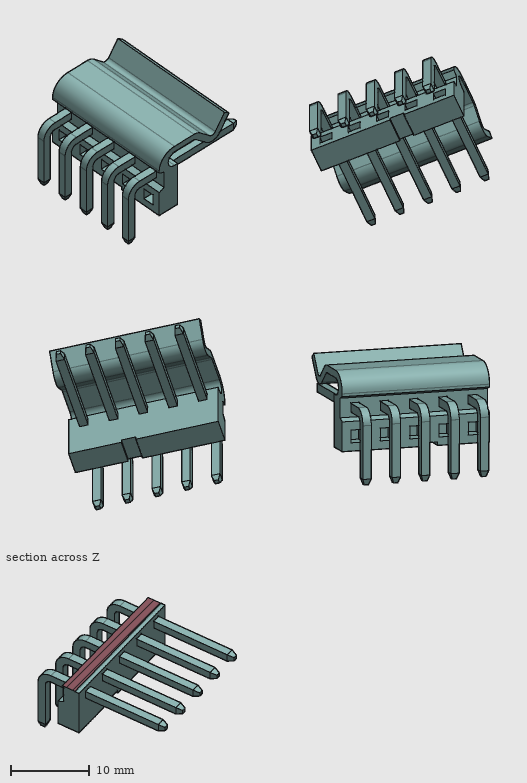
import cadquery as cq
import math


HOUSING_LENGTH = 19.91
WALL_DEPTH = 3.25
CHANNEL_DEPTH = 0.87
CHANNEL_BOTTOM = 4.28
CHANNEL_TOP = 6.84
CHANNEL_FLARE = 0.37
FRONT_TOP = 7.58

ARM_TOP = 10.15
ARM_THICKNESS = 1.0
SHOULDER_Y = 2.70
THROAT_RADIUS = 1.11
THROAT_Y = 2.7
BEND_Y = 6.14
BEND_OUTER_RADIUS = 1.68
BEND_INNER_RADIUS = BEND_OUTER_RADIUS - ARM_THICKNESS
RAMP_ANGLE = 41.5
RAMP_LENGTH = 2.18
LIP_ANGLE = 54.5
LIP_LENGTH = 2.8

PIN_COUNT = 5
PIN_PITCH = 3.96
PIN_SIZE = 1.14
PIN_TIP_SIZE = 0.57
PIN_CENTER_Z = 5.5
PIN_REAR_Y = 15.40
PIN_FRONT_Y = -3.97
PIN_LOWER_Z = -3.74
PIN_BEND_RADIUS = 2.0
MATING_TAPER = 0.86
SOLDER_TAPER = 0.80
LAST_PIN_SHIFT = 0.08

POCKET_SIZE = 1.67
POCKET_CENTER_Z = 1.94
POCKET_DEPTH = 2.0
NOTCH_WIDTH = 1.92
NOTCH_HEIGHT = 0.46
NOTCH_X = PIN_PITCH / 2


def polar(center, radius, angle):
    """Point on a circle, with the angle in degrees from +Y towards +Z."""
    turn = math.radians(angle)
    return (center[0] + radius * math.cos(turn), center[1] + radius * math.sin(turn))


def make_housing():
    """Wall and latch arm, extruded from one Y-Z profile."""
    arm_bottom = ARM_TOP - ARM_THICKNESS
    wall_top = arm_bottom - 2 * THROAT_RADIUS
    throat_center = (THROAT_Y, arm_bottom - THROAT_RADIUS)

    ramp_normal = 90 - RAMP_ANGLE
    lip_normal = LIP_ANGLE - 90
    bend_center = (BEND_Y, ARM_TOP - BEND_OUTER_RADIUS)
    ramp_turning_point = polar(bend_center, BEND_OUTER_RADIUS + BEND_INNER_RADIUS, ramp_normal)
    valley_center = polar(ramp_turning_point, RAMP_LENGTH, -RAMP_ANGLE)
    valley_middle = (ramp_normal + 180 + lip_normal + 360) / 2
    bend_middle = (90 + ramp_normal) / 2
    lip_upper_start = polar(valley_center, BEND_INNER_RADIUS, lip_normal)
    lip_lower_start = polar(valley_center, BEND_OUTER_RADIUS, lip_normal)

    shoulder_rise = ARM_TOP - FRONT_TOP
    shoulder_middle = (
        SHOULDER_Y * (1 - math.sqrt(0.5)),
        FRONT_TOP + shoulder_rise * math.sqrt(0.5),
    )

    profile = (
        cq.Workplane("YZ")
        .moveTo(WALL_DEPTH, 0)
        .lineTo(0, 0)
        .lineTo(0, CHANNEL_BOTTOM - CHANNEL_FLARE)
        .lineTo(CHANNEL_DEPTH, CHANNEL_BOTTOM)
        .lineTo(CHANNEL_DEPTH, CHANNEL_TOP)
        .lineTo(0, CHANNEL_TOP + CHANNEL_FLARE)
        .lineTo(0, FRONT_TOP)
        .threePointArc(shoulder_middle, (SHOULDER_Y, ARM_TOP))
        .lineTo(BEND_Y, ARM_TOP)
        .threePointArc(
            polar(bend_center, BEND_OUTER_RADIUS, bend_middle),
            polar(bend_center, BEND_OUTER_RADIUS, ramp_normal),
        )
        .lineTo(*polar(valley_center, BEND_INNER_RADIUS, ramp_normal + 180))
        .threePointArc(polar(valley_center, BEND_INNER_RADIUS, valley_middle), lip_upper_start)
        .lineTo(*polar(lip_upper_start, LIP_LENGTH, LIP_ANGLE))
        .lineTo(*polar(lip_lower_start, LIP_LENGTH, LIP_ANGLE))
        .lineTo(*lip_lower_start)
        .threePointArc(
            polar(valley_center, BEND_OUTER_RADIUS, valley_middle),
            polar(valley_center, BEND_OUTER_RADIUS, ramp_normal + 180),
        )
        .lineTo(*polar(bend_center, BEND_INNER_RADIUS, ramp_normal))
        .threePointArc(polar(bend_center, BEND_INNER_RADIUS, bend_middle), (BEND_Y, arm_bottom))
        .lineTo(THROAT_Y, arm_bottom)
        .threePointArc(polar(throat_center, THROAT_RADIUS, 180), (THROAT_Y, wall_top))
        .lineTo(WALL_DEPTH, wall_top)
        .close()
    )
    return profile.extrude(HOUSING_LENGTH / 2, both=True)


def make_pocket(x):
    """Blind square pocket cutter, entering from the front face."""
    return (
        cq.Workplane("XY")
        .box(POCKET_SIZE, POCKET_DEPTH, POCKET_SIZE, centered=(True, False, True))
        .translate((x, 0, POCKET_CENTER_Z))
    )


def make_pin_hole(x):
    """Cutter for a square pin hole through the wall, at the height of the last pin."""
    return (
        cq.Workplane("XY")
        .box(PIN_SIZE, WALL_DEPTH, PIN_SIZE, centered=(True, False, True))
        .translate((x, 0, PIN_CENTER_Z + LAST_PIN_SHIFT))
    )


def make_notch():
    """Cutter for the notch that runs front to back through the underside."""
    return (
        cq.Workplane("XY")
        .box(NOTCH_WIDTH, WALL_DEPTH, NOTCH_HEIGHT, centered=(True, False, False))
        .translate((NOTCH_X, 0, 0))
    )


def make_taper(plane, length):
    """Square pin end that narrows along the normal of the plane."""
    return (
        cq.Workplane(plane)
        .rect(PIN_SIZE, PIN_SIZE)
        .workplane(offset=length)
        .rect(PIN_TIP_SIZE, PIN_TIP_SIZE)
        .loft(ruled=True)
    )


def make_pin():
    """L-shaped square pin at X = 0 with both ends tapered."""
    half = PIN_SIZE / 2
    shank_rear_y = PIN_REAR_Y - MATING_TAPER
    leg_end_z = PIN_LOWER_Z + SOLDER_TAPER
    corner = (PIN_FRONT_Y + PIN_BEND_RADIUS, PIN_CENTER_Z + half - PIN_BEND_RADIUS)
    inner_radius = PIN_BEND_RADIUS - PIN_SIZE
    bar = (
        cq.Workplane("YZ")
        .moveTo(shank_rear_y, PIN_CENTER_Z + half)
        .lineTo(corner[0], PIN_CENTER_Z + half)
        .threePointArc(polar(corner, PIN_BEND_RADIUS, 135), (PIN_FRONT_Y, corner[1]))
        .lineTo(PIN_FRONT_Y, leg_end_z)
        .lineTo(PIN_FRONT_Y + PIN_SIZE, leg_end_z)
        .lineTo(PIN_FRONT_Y + PIN_SIZE, corner[1])
        .threePointArc(polar(corner, inner_radius, 135), (corner[0], PIN_CENTER_Z - half))
        .lineTo(shank_rear_y, PIN_CENTER_Z - half)
        .close()
        .extrude(half, both=True)
    )
    mating_plane = cq.Plane((0, shank_rear_y, PIN_CENTER_Z), xDir=(1, 0, 0), normal=(0, 1, 0))
    solder_plane = cq.Plane((0, PIN_FRONT_Y + half, leg_end_z), xDir=(1, 0, 0), normal=(0, 0, -1))
    mating_tip = make_taper(mating_plane, MATING_TAPER)
    solder_tip = make_taper(solder_plane, SOLDER_TAPER)
    return bar.union(mating_tip).union(solder_tip)


pin_positions = [(i - (PIN_COUNT - 1) / 2) * PIN_PITCH for i in range(PIN_COUNT)]

result = make_housing().cut(make_notch())
for pin_x in pin_positions:
    result = result.cut(make_pocket(pin_x)).cut(make_pin_hole(pin_x))

pin = make_pin()
for pin_x in pin_positions:
    shift = LAST_PIN_SHIFT if pin_x == pin_positions[-1] else 0
    result = result.union(pin.translate((pin_x, -shift, shift)))